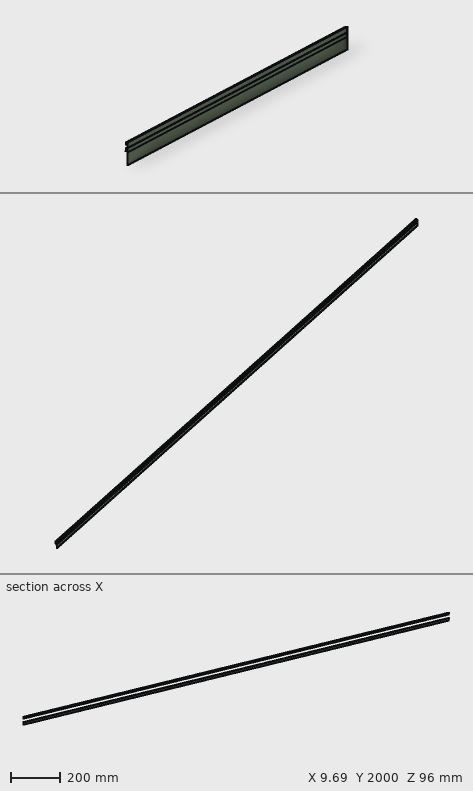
import cadquery as cq

LENGTH = 2000.0
HEIGHT = 96.0
DEPTH = 9.69

LOWER_PLATE = 1.8
UPPER_PLATE = 2.5
STEP_Z = 5.4

TOP_LIP = 1.15
TOP_LIP_DROP = 8.6
TOP_LIP_SETBACK = 0.78

LEANING_LIP = 1.75
LEANING_LIP_TOP_Z = 24.6
LEANING_LIP_END_Z = 11.6
LEAN = 1.4

back_x = DEPTH / 2
front_x = -DEPTH / 2
top_z = HEIGHT / 2
bottom_z = -HEIGHT / 2
upper_face_x = back_x - UPPER_PLATE
lower_face_x = back_x - LOWER_PLATE


def top_hook():
    """Outline points of the top hook, from its outer corner to the web."""
    outer_x = front_x + TOP_LIP_SETBACK
    inner_x = outer_x + TOP_LIP
    end_z = top_z - TOP_LIP_DROP
    under_z = top_z - TOP_LIP
    return [
        (outer_x, top_z),
        (outer_x, end_z),
        (inner_x, end_z),
        (inner_x, under_z),
        (upper_face_x, under_z),
    ]


def leaning_hook():
    """Outline points of the middle hook, from the web out and back."""
    outer_top_x = front_x + LEAN
    under_z = LEANING_LIP_TOP_Z - LEANING_LIP
    return [
        (upper_face_x, LEANING_LIP_TOP_Z),
        (outer_top_x, LEANING_LIP_TOP_Z),
        (front_x, LEANING_LIP_END_Z),
        (front_x + LEANING_LIP, LEANING_LIP_END_Z),
        (outer_top_x + LEANING_LIP, under_z),
        (upper_face_x, under_z),
    ]


def lower_plate():
    """Outline points of the web from the step down to the bottom edge."""
    return [
        (upper_face_x, STEP_Z),
        (lower_face_x, STEP_Z),
        (lower_face_x, bottom_z),
    ]


back_edge = [(back_x, bottom_z), (back_x, top_z)]
outline = back_edge + top_hook() + leaning_hook() + lower_plate()

result = cq.Workplane("XZ").polyline(outline).close().extrude(LENGTH / 2, both=True)